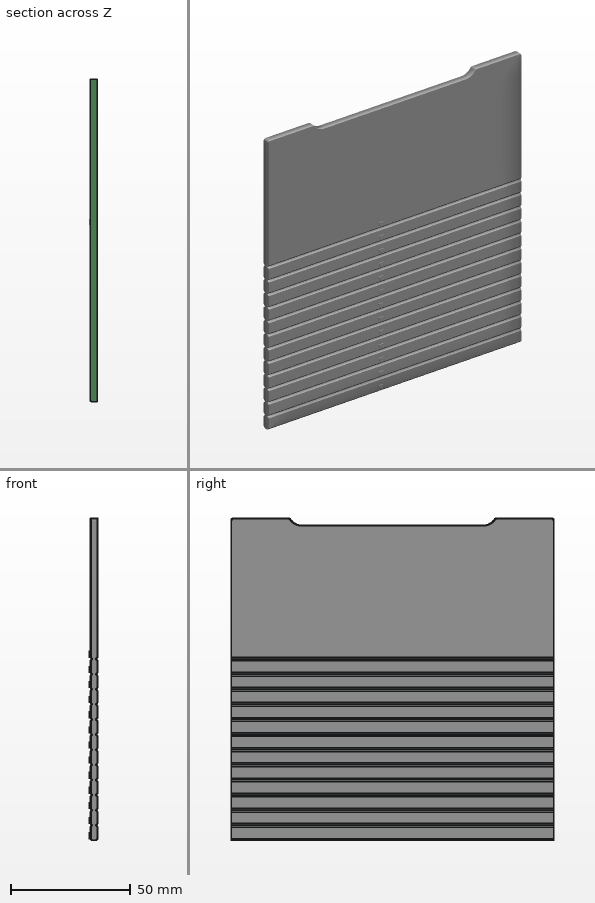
import cadquery as cq
import math

plate_thickness = 3.175
plate_width = 135.65
plate_height = 135.31
corner_radius = 1.0
bevel_inset = 0.2
bevel_depth = 0.5

notch_margin = 24.6
notch_depth = 3.0
notch_radius = 6.0
notch_lip_radius = 0.8

groove_pitch = 6.35
groove_count = 13
groove_depth = 0.785

marker_relief = 0.397
marker_width = 2.6
marker_height = 2.4
marker_y = 7.7

front_x = -plate_thickness / 2
back_x = plate_thickness / 2
half_width = plate_width / 2
top_z = plate_height / 2
bottom_z = -plate_height / 2
groove_levels = [bottom_z + i * groove_pitch for i in range(groove_count)]


def make_plate():
    """Notched plate with rounded upper corners and a steep bevel round the front face."""
    floor_z = top_z - notch_depth
    corner_y = half_width - notch_margin
    arc_center_z = floor_z + notch_radius
    arc_run = math.sqrt(notch_radius**2 - (notch_radius - notch_depth) ** 2)
    floor_y = corner_y - arc_run
    half_sweep = math.asin(arc_run / notch_radius) / 2
    mid_y = floor_y + notch_radius * math.sin(half_sweep)
    mid_z = arc_center_z - notch_radius * math.cos(half_sweep)

    plate = (
        cq.Workplane("YZ", origin=(front_x, 0, 0))
        .moveTo(-half_width, bottom_z)
        .lineTo(half_width, bottom_z)
        .lineTo(half_width, top_z)
        .lineTo(corner_y, top_z)
        .threePointArc((mid_y, mid_z), (floor_y, floor_z))
        .lineTo(-floor_y, floor_z)
        .threePointArc((-mid_y, mid_z), (-corner_y, top_z))
        .lineTo(-half_width, top_z)
        .close()
        .extrude(plate_thickness)
    )
    outer_corners = [(0, -half_width, top_z), (0, half_width, top_z)]
    for point in outer_corners:
        plate = plate.edges(cq.selectors.NearestToPointSelector(point)).fillet(corner_radius)
    notch_lips = [(0, -corner_y, top_z), (0, corner_y, top_z)]
    for point in notch_lips:
        plate = plate.edges(cq.selectors.NearestToPointSelector(point)).fillet(notch_lip_radius)
    return plate.faces("<X").edges("not <Z").chamfer(bevel_inset, bevel_depth)


def make_grooves(face_x):
    """Right-angled V cutters across the full width of one face."""
    diagonal = 2 * groove_depth
    return (
        cq.Workplane("XZ", origin=(0, half_width, 0))
        .pushPoints([(face_x, z) for z in groove_levels])
        .polygon(4, diagonal)
        .extrude(plate_width)
    )


def make_markers():
    """Downward arrowheads standing proud of the front face, tips at the groove rims."""
    markers = cq.Workplane("YZ", origin=(front_x, 0, 0))
    for z in groove_levels:
        tip_z = z + groove_depth
        base_z = tip_z + marker_height
        markers = (
            markers.moveTo(marker_y, tip_z)
            .lineTo(marker_y + marker_width / 2, base_z)
            .lineTo(marker_y - marker_width / 2, base_z)
            .close()
        )
    return markers.extrude(-marker_relief)


result = make_plate().cut(make_grooves(front_x)).cut(make_grooves(back_x)).union(make_markers())